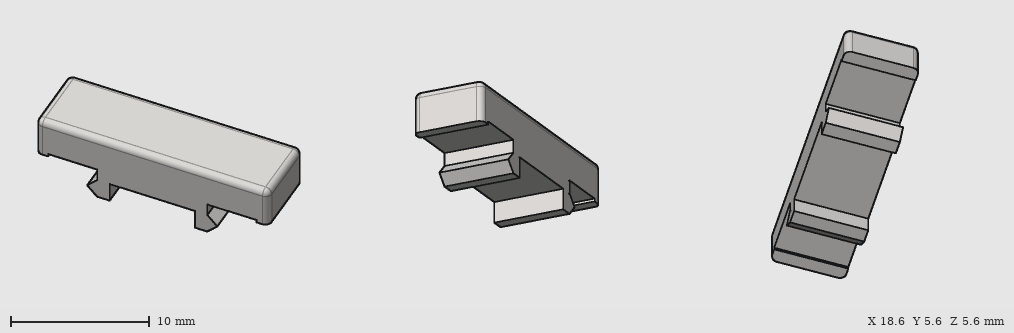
import cadquery as cq

length = 18.6
width = 5.6
height = 5.6
edge_radius = 0.5

body_depth = 3.0
lip_drop = 0.22
bridge_depth = 4.0
body_bottom = height - body_depth
bridge_bottom = height - bridge_depth

lip_length = 0.97
leg_outer = 4.4
leg_thickness = 1.0
leg_inner = leg_outer - leg_thickness

barb_reach = bridge_bottom / 2


def make_body():
    """Block with rounded vertical and top edges, relieved between its end lips."""
    block_height = body_depth + lip_drop
    block = (
        cq.Workplane("XY")
        .workplane(offset=height - block_height)
        .rect(length, width)
        .extrude(block_height)
        .edges("|Z or >Z")
        .fillet(edge_radius)
    )
    relief = (
        cq.Workplane("XY")
        .workplane(offset=body_bottom - lip_drop)
        .rect(length - 2 * lip_length, width)
        .extrude(lip_drop)
    )
    return block.cut(relief)


def make_clip():
    """Bridge with two outward-barbed legs, running the full width."""
    right_side = [
        (leg_outer, body_bottom),
        (leg_outer, bridge_bottom),
        (leg_outer + barb_reach, barb_reach),
        (leg_outer, 0),
        (leg_inner, 0),
        (leg_inner, bridge_bottom),
    ]
    left_side = [(-x, z) for x, z in reversed(right_side)]
    return (
        cq.Workplane("XZ")
        .polyline(right_side + left_side)
        .close()
        .extrude(width / 2, both=True)
    )


result = make_body().union(make_clip())